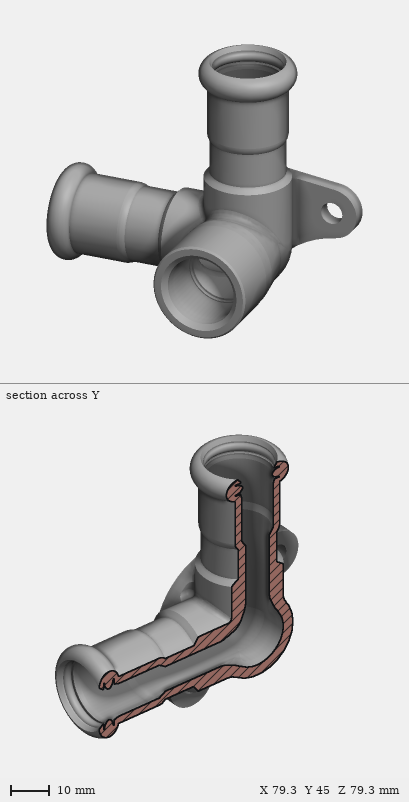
import cadquery as cq
import math

PRESS_LENGTH = 52.5
OUTLET_LENGTH = 32.0
BACK_FACE = 13.0

BODY_RADIUS = 11.5
WATERWAY_RADIUS = 8.5
COLLAR_END = 31.4
COLLAR_CHAMFER = 1.5
BODY_FILLET = 1.5
OUTLET_FILLET = 2.0
WATERWAY_FILLET = 5.0
SEAM_TOLERANCE = 0.001

MOUTH_RADIUS = 10.0
BEAD_RADIUS = 12.85
BEAD_LENGTH = 6.6
SOCKET_RADIUS = 21.3 / 2
SOCKET_LENGTH = 20.0
SHOULDER_LENGTH = 2.0
SPIGOT_RADIUS = 10.0
SOCKET_BORE_RADIUS = 18.3 / 2
LIP_RADIUS = 18.7 / 2
LEAD_IN_DEPTH = 1.25
GROOVE_START = 1.65
GROOVE_END = 4.95
SEAL_SECTION_RADIUS = 1.5
SEAL_BORE_RADIUS = 9.0
LIP_END = 5.45
LIP_TAPER_END = 6.5

OUTLET_RADIUS = 13.0
OUTLET_CHAMFER = 0.5
OUTLET_CYLINDER_START = 18.0
FLARE_START = 5.0
FLARE_END = 14.0
FLARE_RADIUS = 12.8
THREAD_RADIUS = 18.63 / 2
THREAD_DEPTH = 15.0
THREAD_CHAMFER = 1.35
RELIEF_RADIUS = 9.0
RELIEF_LENGTH = 1.0

PLATE_THICKNESS = 4.0
LUG_RADIUS = 7.0
LUG_HOLE_RADIUS = 3.0
LUG_FAR = 19.78
LUG_NEAR = 8.6
CROWN_RADIUS = 21.1
CROWN_OFFSET = 3.7
WAIST_OFFSET = 25.0


def revolve_profile(profile):
    """Turn a half profile of (radius, height) about the Z axis."""
    return profile.close().revolve(360, (0, 0, 0), (0, 1, 0))


def toward_left(shape):
    """Swing a +Z branch round to -X."""
    return shape.rotate((0, 0, 0), (0, 1, 0), -90)


def toward_front(shape):
    """Swing a +Z branch round to -Y."""
    return shape.rotate((0, 0, 0), (1, 0, 0), 90)


def press_height(distance):
    """Height on a +Z branch of a station given by its distance from the open end."""
    return PRESS_LENGTH - distance


def body_branch():
    """Thick central part of a press branch, chamfered down to the spigot."""
    height = press_height(COLLAR_END)
    return cq.Workplane("XY").circle(BODY_RADIUS).extrude(height).faces(">Z").chamfer(COLLAR_CHAMFER)


def press_tube():
    """Outside of a press branch: spigot, shoulder, socket and end bead."""
    shoulder_drop = SOCKET_RADIUS - SPIGOT_RADIUS
    shoulder_end = press_height(SOCKET_LENGTH + SHOULDER_LENGTH)
    profile = (
        cq.Workplane("XZ")
        .moveTo(0, press_height(COLLAR_END) - COLLAR_CHAMFER)
        .lineTo(SPIGOT_RADIUS, press_height(COLLAR_END) - COLLAR_CHAMFER)
        .lineTo(SPIGOT_RADIUS, shoulder_end)
        .threePointArc(
            (SOCKET_RADIUS - shoulder_drop / 4, shoulder_end + SHOULDER_LENGTH / 2),
            (SOCKET_RADIUS, press_height(SOCKET_LENGTH)),
        )
        .lineTo(SOCKET_RADIUS, press_height(BEAD_LENGTH))
        .threePointArc((BEAD_RADIUS, press_height(BEAD_LENGTH / 2)), (MOUTH_RADIUS, PRESS_LENGTH))
        .lineTo(0, PRESS_LENGTH)
    )
    return revolve_profile(profile)


def press_bore():
    """Inside of a press branch: lead-in, groove holding a round seal, socket and waterway."""
    seal_centre_radius = SEAL_BORE_RADIUS + SEAL_SECTION_RADIUS
    seal_centre_height = press_height((GROOVE_START + GROOVE_END) / 2)
    profile = (
        cq.Workplane("XZ")
        .lineTo(WATERWAY_RADIUS, 0)
        .lineTo(WATERWAY_RADIUS, press_height(SOCKET_LENGTH + SHOULDER_LENGTH))
        .lineTo(SOCKET_BORE_RADIUS, press_height(SOCKET_LENGTH))
        .lineTo(SOCKET_BORE_RADIUS, press_height(LIP_TAPER_END))
        .lineTo(LIP_RADIUS, press_height(LIP_END))
        .lineTo(LIP_RADIUS, press_height(GROOVE_END))
        .lineTo(seal_centre_radius, press_height(GROOVE_END))
        .lineTo(seal_centre_radius, seal_centre_height - SEAL_SECTION_RADIUS)
        .threePointArc(
            (SEAL_BORE_RADIUS, seal_centre_height),
            (seal_centre_radius, seal_centre_height + SEAL_SECTION_RADIUS),
        )
        .lineTo(seal_centre_radius, press_height(GROOVE_START))
        .lineTo(LIP_RADIUS, press_height(GROOVE_START))
        .lineTo(LIP_RADIUS, press_height(LEAD_IN_DEPTH))
        .lineTo(MOUTH_RADIUS, PRESS_LENGTH)
        .lineTo(0, PRESS_LENGTH)
    )
    return revolve_profile(profile)


def outlet_body():
    """Outside of the outlet, flaring from the body out to the threaded end."""
    profile = (
        cq.Workplane("XZ")
        .lineTo(BODY_RADIUS, 0)
        .lineTo(BODY_RADIUS, FLARE_START)
        .lineTo(FLARE_RADIUS, FLARE_END)
        .lineTo(OUTLET_RADIUS, OUTLET_CYLINDER_START)
        .lineTo(OUTLET_RADIUS, OUTLET_LENGTH - OUTLET_CHAMFER)
        .lineTo(OUTLET_RADIUS - OUTLET_CHAMFER, OUTLET_LENGTH)
        .lineTo(0, OUTLET_LENGTH)
    )
    return toward_front(revolve_profile(profile))


def outlet_bore():
    """Inside of the outlet: waterway, relief step, threaded bore and mouth chamfer."""
    thread_end = OUTLET_LENGTH - THREAD_DEPTH
    profile = (
        cq.Workplane("XZ")
        .lineTo(WATERWAY_RADIUS, 0)
        .lineTo(WATERWAY_RADIUS, thread_end - RELIEF_LENGTH)
        .lineTo(RELIEF_RADIUS, thread_end - RELIEF_LENGTH)
        .lineTo(RELIEF_RADIUS, thread_end)
        .lineTo(THREAD_RADIUS, thread_end)
        .lineTo(THREAD_RADIUS, OUTLET_LENGTH - THREAD_CHAMFER)
        .lineTo(THREAD_RADIUS + THREAD_CHAMFER, OUTLET_LENGTH)
        .lineTo(0, OUTLET_LENGTH)
    )
    return toward_front(revolve_profile(profile))


def mirrored(point):
    """Reflect an (x, z) point in the plate's line of symmetry, x = -z."""
    return (-point[1], -point[0])


def mounting_plate():
    """Two-lug plate, symmetric about x = -z, standing on the mounting face."""
    lug = (-LUG_NEAR, -LUG_FAR)
    crown = (CROWN_OFFSET, -CROWN_OFFSET)
    waist = (WAIST_OFFSET, -WAIST_OFFSET)

    to_lug = math.atan2(lug[1] - crown[1], lug[0] - crown[0])
    flank_turn = math.acos((CROWN_RADIUS - LUG_RADIUS) / math.dist(crown, lug))
    normal = (math.cos(to_lug - flank_turn), math.sin(to_lug - flank_turn))
    crown_tangent = (crown[0] + CROWN_RADIUS * normal[0], crown[1] + CROWN_RADIUS * normal[1])
    lug_tangent = (lug[0] + LUG_RADIUS * normal[0], lug[1] + LUG_RADIUS * normal[1])
    diagonal = math.sqrt(0.5)
    crown_top = (crown[0] - CROWN_RADIUS * diagonal, crown[1] + CROWN_RADIUS * diagonal)

    waist_to_lug = math.dist(waist, lug)
    waist_radius = waist_to_lug - LUG_RADIUS
    toward_waist = ((waist[0] - lug[0]) / waist_to_lug, (waist[1] - lug[1]) / waist_to_lug)
    lug_inner = (lug[0] + LUG_RADIUS * toward_waist[0], lug[1] + LUG_RADIUS * toward_waist[1])
    waist_top = (waist[0] - waist_radius * diagonal, waist[1] + waist_radius * diagonal)
    lug_tip = (lug[0], lug[1] - LUG_RADIUS)

    outline = (
        cq.Workplane("XZ", origin=(0, BACK_FACE, 0))
        .moveTo(*crown_tangent)
        .lineTo(*lug_tangent)
        .threePointArc(lug_tip, lug_inner)
        .threePointArc(waist_top, mirrored(lug_inner))
        .threePointArc(mirrored(lug_tip), mirrored(lug_tangent))
        .lineTo(*mirrored(crown_tangent))
        .threePointArc(crown_top, crown_tangent)
        .close()
        .extrude(PLATE_THICKNESS)
    )
    holes = (
        cq.Workplane("XZ", origin=(0, BACK_FACE, 0))
        .pushPoints([lug, mirrored(lug)])
        .circle(LUG_HOLE_RADIUS)
        .extrude(PLATE_THICKNESS)
    )
    return outline.cut(holes)


def seam_edges(merged, first, second, kinds):
    """Edges of the merged solid that lie on the surfaces of both of its parts."""
    shells = [first.val().Shells()[0], second.val().Shells()[0]]
    edges = []
    for edge in merged.edges().vals():
        middle = cq.Vertex.makeVertex(*edge.positionAt(0.5).toTuple())
        on_both = all(shell.distance(middle) < SEAM_TOLERANCE for shell in shells)
        if on_both and edge.geomType() in kinds:
            edges.append(edge)
    return edges


def fillet_edges(solid, edges, radius):
    return cq.Workplane(solid.val().fillet(radius, edges))


def outer_body():
    """Elbow, plate and outlet joined with fillets along their seams."""
    upright = body_branch()
    sideways = toward_left(body_branch())
    elbow = upright.union(sideways).union(cq.Workplane("XY").sphere(BODY_RADIUS))
    plate = mounting_plate()
    outlet = outlet_body()

    bracket = elbow.union(plate)
    corners = seam_edges(bracket, upright, sideways, ("ELLIPSE",))
    corners += seam_edges(bracket, elbow, plate, ("LINE", "CIRCLE", "ELLIPSE", "BSPLINE"))
    bracket = fillet_edges(bracket, corners, BODY_FILLET)

    joined = bracket.union(outlet)
    return fillet_edges(joined, seam_edges(joined, bracket, outlet, ("BSPLINE",)), OUTLET_FILLET)


def inner_passages():
    """All three bores, meeting in a ball-ended corner."""
    upright = press_bore()
    sideways = toward_left(press_bore())
    forward = outlet_bore()
    passages = upright.union(sideways).union(forward)
    passages = passages.union(cq.Workplane("XY").sphere(WATERWAY_RADIUS))
    corners = []
    for first, second in ((upright, sideways), (upright, forward), (sideways, forward)):
        corners += seam_edges(passages, first, second, ("ELLIPSE",))
    return fillet_edges(passages, corners, WATERWAY_FILLET)


outside = outer_body().union(press_tube()).union(toward_left(press_tube()))
result = outside.cut(inner_passages())